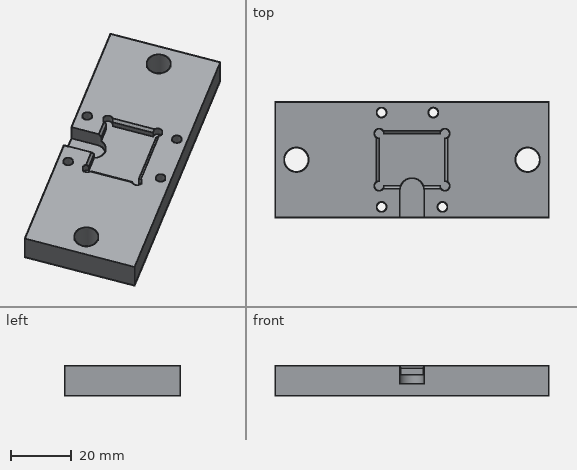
import cadquery as cq

plate_length = 90.0
plate_width = 38.0
plate_thickness = 10.0

mounting_hole_diameter = 7.94
mounting_hole_x = 38.0
screw_hole_diameter = 3.17
screw_hole_y = 15.5
screw_hole_centres = [
    (-10.0, screw_hole_y),
    (7.0, screw_hole_y),
    (-10.0, -screw_hole_y),
    (10.0, -screw_hole_y),
]

pocket_length = 21.6
pocket_width = 17.2
pocket_depth = 3.0
rim_chamfer = 0.9
rim_chamfer_angle = 45.0
relief_diameter = screw_hole_diameter

slot_width = mounting_hole_diameter
slot_depth = 6.0
slot_end_centre_y = -10.0


def make_plate():
    return cq.Workplane("XY").box(
        plate_length, plate_width, plate_thickness, centered=(True, True, False)
    )


def top_plane():
    return cq.Workplane("XY", origin=(0, 0, plate_thickness))


def through_holes():
    mounting_holes = (
        cq.Workplane("XY")
        .pushPoints([(-mounting_hole_x, 0), (mounting_hole_x, 0)])
        .circle(mounting_hole_diameter / 2)
        .extrude(plate_thickness)
    )
    screw_holes = (
        cq.Workplane("XY")
        .pushPoints(screw_hole_centres)
        .circle(screw_hole_diameter / 2)
        .extrude(plate_thickness)
    )
    return mounting_holes.union(screw_holes)


def chamfered_pocket():
    floor_area = top_plane().rect(pocket_length, pocket_width).extrude(-pocket_depth)
    rim = (
        top_plane()
        .rect(pocket_length + 2 * rim_chamfer, pocket_width + 2 * rim_chamfer)
        .extrude(-rim_chamfer, taper=rim_chamfer_angle)
    )
    return floor_area.union(rim)


def corner_reliefs():
    return (
        top_plane()
        .rect(pocket_length, pocket_width, forConstruction=True)
        .vertices()
        .circle(relief_diameter / 2)
        .extrude(-pocket_depth)
    )


def slot():
    front_y = -plate_width / 2
    half_width = slot_width / 2
    return (
        top_plane()
        .moveTo(-half_width, front_y)
        .lineTo(half_width, front_y)
        .lineTo(half_width, slot_end_centre_y)
        .threePointArc((0, slot_end_centre_y + half_width), (-half_width, slot_end_centre_y))
        .close()
        .extrude(-slot_depth)
    )


result = (
    make_plate()
    .cut(through_holes())
    .cut(chamfered_pocket())
    .cut(corner_reliefs())
    .cut(slot())
)